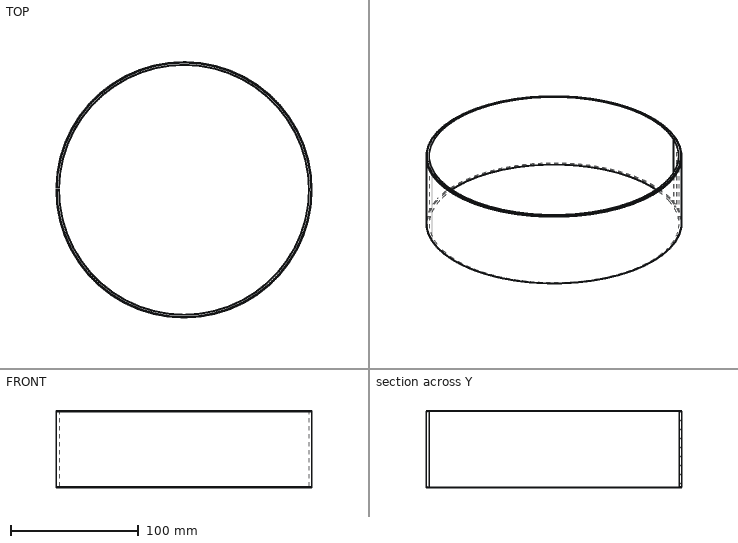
import cadquery as cq

outer_diameter = 200.0
height = 60.0
wall = 2.5
split_width = 1.5
rim_chamfer = 0.5

outer_radius = outer_diameter / 2
inner_radius = outer_radius - wall

band = (
    cq.Workplane("XY")
    .workplane(offset=-height / 2)
    .circle(outer_radius)
    .circle(inner_radius)
    .extrude(height)
)

outer_rims = cq.selectors.RadiusNthSelector(-1)
band = band.faces("<Z or >Z").edges(outer_rims).chamfer(rim_chamfer)

split = (
    cq.Workplane("XY")
    .box(outer_radius, split_width, height, centered=(True, False, True))
    .translate((-outer_radius, 0, 0))
)

result = band.cut(split)